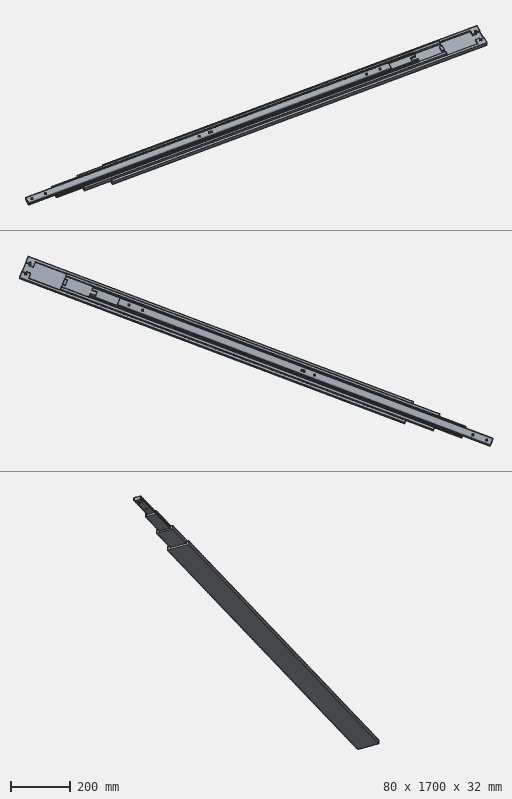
import cadquery as cq


total_length = 1700
outer_length = 1400
front_step = (total_length - outer_length) / 3
inner_rail_length = 1355

side_clearance = 1
ball_groove_radius = 2
outer_width = 80
outer_height = 15
outer_floor = 8
middle_width = 60
middle_height = 15
middle_floor = 6
inner_width = 40
inner_height = 14
inner_floor = 8
slide_width = 28
slide_height = 10
slide_edge_radius = 3

outer_opening = middle_width + 2 * side_clearance
middle_opening = inner_width + 2 * side_clearance
inner_opening = slide_width + 2 * side_clearance

middle_bottom = outer_floor
inner_bottom = middle_bottom + middle_floor
slide_bottom = inner_bottom + inner_floor

outer_front = -outer_length
middle_front = outer_front - front_step
inner_front = middle_front - front_step
slide_front = inner_front - front_step
middle_back = middle_front + inner_rail_length
inner_back = inner_front + inner_rail_length
slide_back = slide_front + inner_rail_length

stop_length = 30
stop_gap_back = 34
stop_gap_front = 24
stop_hole_diameter = 8
stop_hole_x = 20

tab_width = 20
tab_length = 10
tab_height = 6

notch_width = 15
notch_length = 19

mount_hole_diameter = 7
mount_hole_pitch = 50
front_hole_inset = 18
hole_group_pitch = 625
hole_groups = 3
slot_length = 15
slot_to_hole = 42
catch_width = 20
catch_length = 20
catch_height = 4
catch_pin_diameter = 5
catch_pin_length = 5


def block(width, back, front, bottom, height, x=0):
    """Box centred on x that spans Y from front to back and rises from bottom."""
    box = cq.Workplane("XY").box(width, back - front, height, centered=(True, False, False))
    return box.translate((x, front, bottom))


def channel(width, opening, height, floor, back, front, bottom):
    """U-shaped rail with its open side up."""
    bar = block(width, back, front, bottom, height)
    hollow = block(opening, back, front, bottom + floor, height - floor)
    return bar.cut(hollow)


def cut_ball_grooves(rail, width, back, front, height):
    """Cut a half-round groove along each outer side of a rail."""
    sides = [(-width / 2, height), (width / 2, height)]
    rods = cq.Workplane("XZ").pushPoints(sides).circle(ball_groove_radius).extrude(back - front)
    return rail.cut(rods.translate((0, back, 0)))


def make_outer_rail():
    """Widest rail, with a stepped stop block in each back corner."""
    rail = channel(outer_width, outer_opening, outer_height, outer_floor, 0, outer_front, 0)
    stop_height = outer_height - outer_floor
    half_opening = outer_opening / 2
    stop_middle = -stop_length / 2
    steps = [(0, stop_middle, stop_gap_back), (stop_middle, -stop_length, stop_gap_front)]
    for side in (-1, 1):
        for back, front, gap in steps:
            width = half_opening - gap / 2
            centre = side * (half_opening + gap / 2) / 2
            rail = rail.union(block(width, back, front, outer_floor, stop_height, centre))
        hole = cq.Workplane("XY").circle(stop_hole_diameter / 2).extrude(stop_height)
        rail = rail.cut(hole.translate((side * stop_hole_x, stop_middle, outer_floor)))
    return rail


def make_middle_rail():
    """Second rail, with a raised stop tab at the back of its floor."""
    rail = channel(
        middle_width, middle_opening, middle_height, middle_floor, middle_back, middle_front, middle_bottom
    )
    tab_bottom = middle_bottom + middle_floor
    return rail.union(block(tab_width, middle_back, middle_back - tab_length, tab_bottom, tab_height))


def make_inner_rail():
    """Third rail, with its floor notched at the back."""
    rail = channel(
        inner_width, inner_opening, inner_height, inner_floor, inner_back, inner_front, inner_bottom
    )
    rail = cut_ball_grooves(rail, inner_width, inner_back, inner_front, inner_bottom + inner_height / 2)
    return rail.cut(block(notch_width, inner_back, inner_back - notch_length, inner_bottom, inner_floor))


def slide_opening(y, length=mount_hole_diameter):
    """Cutter through the slide for a round hole, or for a slot along Y where length is greater."""
    plane = cq.Workplane("XY")
    if length > mount_hole_diameter:
        outline = plane.slot2D(length, mount_hole_diameter, 90)
    else:
        outline = plane.circle(mount_hole_diameter / 2)
    return outline.extrude(slide_height).translate((0, y, slide_bottom))


def make_slide():
    """Solid top rail with pairs of mounting holes, an adjustment slot and a catch under its front end."""
    rail = block(slide_width, slide_back, slide_front, slide_bottom, slide_height)
    rail = rail.edges(">Z and |Y").fillet(slide_edge_radius)
    rail = cut_ball_grooves(rail, slide_width, slide_back, slide_front, slide_bottom + slide_height / 2)
    catch_bottom = slide_bottom - catch_height
    catch_back = slide_front + catch_length
    rail = rail.union(block(catch_width, catch_back, slide_front, catch_bottom, catch_height))
    pin = cq.Workplane("XY").circle(catch_pin_diameter / 2).extrude(-catch_pin_length)
    rail = rail.union(pin.translate((0, slide_front + catch_length / 2, catch_bottom)))
    first_hole = slide_front + front_hole_inset
    for group in range(hole_groups):
        front_hole = first_hole + group * hole_group_pitch
        rail = rail.cut(slide_opening(front_hole))
        if group == hole_groups // 2:
            rail = rail.cut(slide_opening(front_hole + slot_to_hole, slot_length))
        else:
            rail = rail.cut(slide_opening(front_hole + mount_hole_pitch))
    return rail


outer_rail = make_outer_rail()
middle_rail = make_middle_rail()
inner_rail = make_inner_rail()
slide = make_slide()

result = cq.Compound.makeCompound([outer_rail.val(), middle_rail.val(), inner_rail.val(), slide.val()])